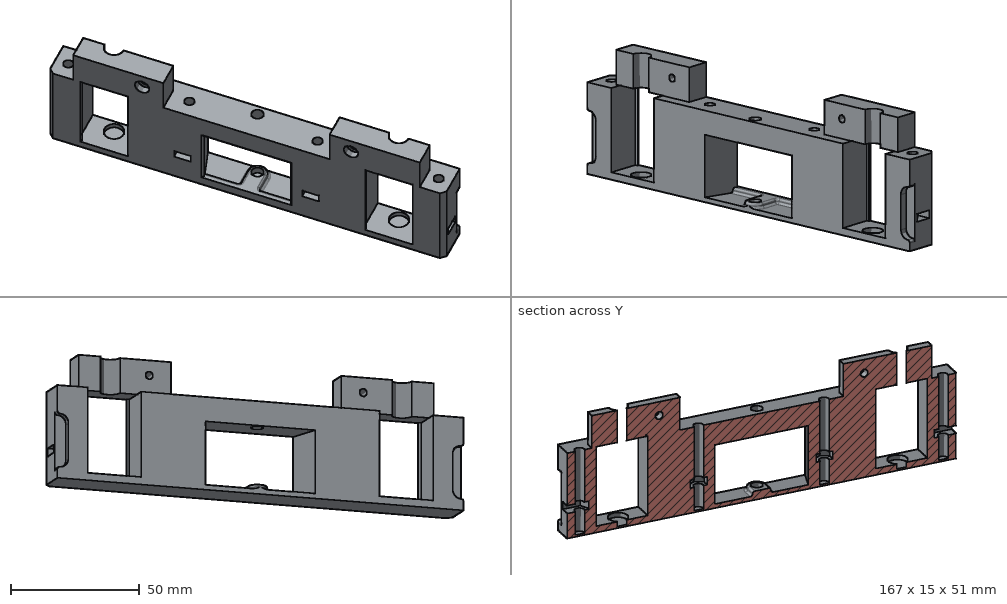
import cadquery as cq
import math

LENGTH = 167.0
DEPTH = 15.0
BODY_HEIGHT = 37.0
TOTAL_HEIGHT = 51.0
END_CHAMFER = 2.0
SIDES = (-1, 1)
HOLE_FLOOR = 1.0

TAB_INNER_X = 35.0
TAB_OUTER_X = 73.0
TAB_DEPTH = 10.0
SCREW_X = 44.0
SCREW_INSET = 6.0
SCREW_Z = TOTAL_HEIGHT - SCREW_INSET
SCREW_DIAMETER = 3.0
SCREW_HEAD_DIAMETER = 6.0
SCREW_HEAD_DEPTH = 3.0

SIDE_WINDOW_X = 60.0
SIDE_WINDOW_WIDTH = 20.0
SIDE_WINDOW_FLOOR = 3.0
SIDE_POCKET_WIDTH = 22.0
SIDE_LIP_INSET = 0.4
SIDE_LIP_DEPTH = 1.0
SHAFT_DIAMETER = 8.0
SHAFT_Y = 10.0

WINDOW_WIDTH = 38.0
WINDOW_FLOOR = 4.0
WINDOW_TOP = 28.0
BEVEL_INSET = 0.75
BEVEL_DEPTH = 1.0
FLARE_ANGLE = 17.0
POCKET_FLOOR = 2.0
SILL_DEPTH = 2.8
BOSS_HALF_WIDTH = 4.0
BOSS_CORNER_RADIUS = 1.0
SILL_ROUND = 0.99
SILL_MARGIN = 0.1
CENTRE_HOLE_DIAMETER = 4.8
CENTRE_HOLE_Y = 11.0

BOLT_Y = 7.0
BOLT_DIAMETER = 4.0
INNER_BOLT_X = 27.0
OUTER_BOLT_X = 78.0
NUT_SIDES = 6
NUT_WIDTH = 7.0
NUT_FLOOR = 11.0
NUT_THICKNESS = 3.2

RECESS_BOTTOM = 4.5
RECESS_TOP = 25.7
RECESS_Y = 12.0
MOUTH_RADIUS = 1.0
RECESS_RADIUS = 3.5
RECESS_LENGTH = MOUTH_RADIUS + RECESS_RADIUS


def box(x_range, y_range, z_range):
    """Box between the given limits."""
    size = [high - low for low, high in (x_range, y_range, z_range)]
    corner = (x_range[0], y_range[0], z_range[0])
    return cq.Workplane("XY").box(*size, centered=False).translate(corner)


def centred_span(centre, width):
    return (centre - width / 2, centre + width / 2)


def vertical_hole(x, y, diameter, bottom):
    """Round blind hole from the top down to the given height."""
    start = cq.Workplane("XY", origin=(x, y, bottom))
    return start.circle(diameter / 2).extrude(TOTAL_HEIGHT - bottom)


def make_body():
    """Long bar with chamfered front ends and two tabs."""
    body = box(centred_span(0, LENGTH), (0, DEPTH), (0, BODY_HEIGHT))
    body = body.faces("<Y").edges("|Z").chamfer(END_CHAMFER)
    for side in SIDES:
        tab_x = sorted((side * TAB_INNER_X, side * TAB_OUTER_X))
        body = body.union(box(tab_x, (0, TAB_DEPTH), (0, TOTAL_HEIGHT)))
    return body


def tab_screw_hole(side):
    """Counterbored hole through a tab, with its head at the front."""
    front = cq.Workplane("XZ").center(side * SCREW_X, SCREW_Z)
    shank = front.circle(SCREW_DIAMETER / 2).extrude(-DEPTH)
    head = front.circle(SCREW_HEAD_DIAMETER / 2).extrude(-SCREW_HEAD_DEPTH)
    return shank.union(head)


def side_window(side):
    """Window with a bevelled outer edge, the wider pocket behind its lip and the shaft bore."""
    centre = side * SIDE_WINDOW_X
    inner_edge = side * (SIDE_WINDOW_X - SIDE_WINDOW_WIDTH / 2)
    outer_edge = side * (SIDE_WINDOW_X + SIDE_WINDOW_WIDTH / 2)
    plan = [
        (inner_edge, 0),
        (outer_edge, 0),
        (outer_edge - side * SIDE_LIP_INSET, SIDE_LIP_DEPTH),
        (inner_edge, SIDE_LIP_DEPTH),
    ]
    floor = cq.Workplane("XY", origin=(0, 0, SIDE_WINDOW_FLOOR))
    opening = floor.polyline(plan).close().extrude(BODY_HEIGHT - SIDE_WINDOW_FLOOR)
    pocket = box(
        centred_span(centre, SIDE_POCKET_WIDTH),
        (SIDE_LIP_DEPTH, DEPTH),
        (SIDE_WINDOW_FLOOR, BODY_HEIGHT),
    )
    bore = vertical_hole(centre, SHAFT_Y, SHAFT_DIAMETER, HOLE_FLOOR)
    return opening.union(pocket).union(bore)


def central_bevel():
    """Front opening that narrows at the sides and the top over the bevel depth."""
    half = WINDOW_WIDTH / 2
    inner_half = half - BEVEL_INSET
    plan = [(-half, 0), (half, 0), (inner_half, BEVEL_DEPTH), (-inner_half, BEVEL_DEPTH)]
    section = [
        (0, WINDOW_FLOOR),
        (0, WINDOW_TOP),
        (BEVEL_DEPTH, WINDOW_TOP - BEVEL_INSET),
        (BEVEL_DEPTH, WINDOW_FLOOR),
    ]
    across = cq.Workplane("XY").polyline(plan).close().extrude(BODY_HEIGHT)
    along = cq.Workplane("YZ").polyline(section).close().extrude(half, both=True)
    return across.intersect(along)


def near_sill_edge(height):
    """Selector for edges along the back outline of the sill and boss at a given height."""
    return cq.selectors.BoxSelector(
        (-WINDOW_WIDTH, SILL_DEPTH - SILL_MARGIN, height - SILL_MARGIN),
        (WINDOW_WIDTH, DEPTH + SILL_MARGIN, height + SILL_MARGIN),
    )


def pocket_sill():
    """Raised strip behind the front wall with a round-ended boss, blended into the floor."""
    wide = centred_span(0, 2 * WINDOW_WIDTH)
    raised_z = (POCKET_FLOOR, WINDOW_FLOOR)
    strip = box(wide, (0, SILL_DEPTH), raised_z)
    boss = box(centred_span(0, 2 * BOSS_HALF_WIDTH), (0, CENTRE_HOLE_Y), raised_z)
    boss_end = (
        cq.Workplane("XY", origin=(0, CENTRE_HOLE_Y, POCKET_FLOOR))
        .circle(BOSS_HALF_WIDTH)
        .extrude(WINDOW_FLOOR - POCKET_FLOOR)
    )
    raised = strip.union(boss).union(boss_end).clean()
    for side in SIDES:
        corner = cq.selectors.NearestToPointSelector((side * BOSS_HALF_WIDTH, SILL_DEPTH, WINDOW_FLOOR))
        raised = raised.edges("|Z").edges(corner).fillet(BOSS_CORNER_RADIUS)
    raised = raised.faces(">Z").edges(near_sill_edge(WINDOW_FLOOR)).fillet(SILL_ROUND)
    sill = raised.union(box(wide, (0, 2 * DEPTH), (0, POCKET_FLOOR)))
    return sill.edges(near_sill_edge(POCKET_FLOOR)).fillet(SILL_ROUND)


def central_window():
    """Bevelled opening and the flared pocket behind it, above the sill and boss."""
    front_half = WINDOW_WIDTH / 2 - BEVEL_INSET
    back_half = front_half + (DEPTH - BEVEL_DEPTH) * math.tan(math.radians(FLARE_ANGLE))
    plan = [
        (-front_half, BEVEL_DEPTH),
        (front_half, BEVEL_DEPTH),
        (back_half, DEPTH),
        (-back_half, DEPTH),
    ]
    pocket_height = WINDOW_TOP - BEVEL_INSET - POCKET_FLOOR
    pocket = (
        cq.Workplane("XY", origin=(0, 0, POCKET_FLOOR)).polyline(plan).close().extrude(pocket_height)
    )
    return central_bevel().union(pocket.cut(pocket_sill()))


def nut_trap(x, y, opening_x, opening_y):
    """Hexagonal seat around a bolt and the straight slot leading out to the given point."""
    across_corners = NUT_WIDTH / math.cos(math.pi / NUT_SIDES)
    run = math.hypot(opening_x - x, opening_y - y)
    direction = math.degrees(math.atan2(opening_y - y, opening_x - x))
    seat = cq.Workplane("XY").polygon(NUT_SIDES, across_corners).extrude(NUT_THICKNESS)
    slot = box((0, run), centred_span(0, NUT_WIDTH), (0, NUT_THICKNESS))
    trap = seat.union(slot).rotate((0, 0, 0), (0, 0, 1), direction)
    return trap.translate((x, y, NUT_FLOOR))


def end_recess(side):
    """Back recess open at an end face: rounded inner corners and a rounded-over mouth."""
    end = LENGTH / 2
    inner = end - RECESS_LENGTH
    throat = end - MOUTH_RADIUS
    profile = (
        cq.Workplane("XZ")
        .moveTo(end, RECESS_BOTTOM - MOUTH_RADIUS)
        .radiusArc((throat, RECESS_BOTTOM), -MOUTH_RADIUS)
        .radiusArc((inner, RECESS_BOTTOM + RECESS_RADIUS), RECESS_RADIUS)
        .lineTo(inner, RECESS_TOP - RECESS_RADIUS)
        .radiusArc((throat, RECESS_TOP), RECESS_RADIUS)
        .radiusArc((end, RECESS_TOP + MOUTH_RADIUS), -MOUTH_RADIUS)
        .close()
    )
    recess = profile.extrude(RECESS_Y - DEPTH).translate((0, RECESS_Y, 0))
    return recess if side > 0 else recess.mirror("YZ")


result = make_body().cut(central_window())
result = result.cut(vertical_hole(0, CENTRE_HOLE_Y, CENTRE_HOLE_DIAMETER, HOLE_FLOOR))
for side in SIDES:
    inner_x = side * INNER_BOLT_X
    outer_x = side * OUTER_BOLT_X
    result = result.cut(tab_screw_hole(side))
    result = result.cut(side_window(side))
    result = result.cut(vertical_hole(inner_x, BOLT_Y, BOLT_DIAMETER, HOLE_FLOOR))
    result = result.cut(vertical_hole(outer_x, BOLT_Y, BOLT_DIAMETER, HOLE_FLOOR))
    result = result.cut(nut_trap(inner_x, BOLT_Y, inner_x, 0))
    result = result.cut(nut_trap(outer_x, BOLT_Y, side * LENGTH / 2, BOLT_Y))
    result = result.cut(end_recess(side))